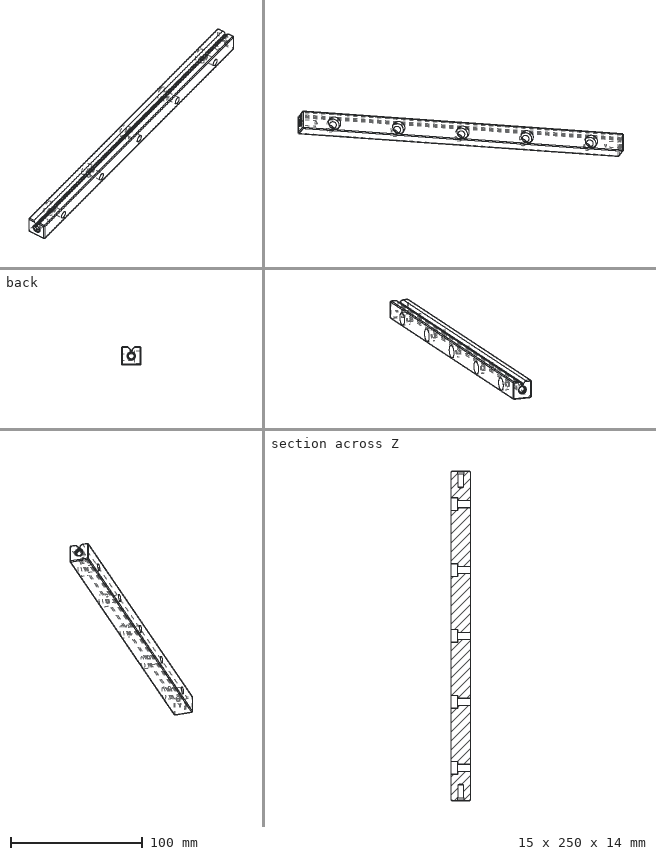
import cadquery as cq
import math

WIDTH = 15.0
LENGTH = 250.0
HEIGHT = 14.0
EDGE_CHAMFER = 0.75

GROOVE_HALF_WIDTH = 2.75
RELIEF_HALF_WIDTH = 0.75
RELIEF_DEPTH = 3.0

MOUNT_COUNT = 5
MOUNT_PITCH = LENGTH / MOUNT_COUNT
MOUNT_HEIGHT = 6.0
MOUNT_DIAMETER = 5.2
COUNTERBORE_DIAMETER = 9.5
COUNTERBORE_DEPTH = 5.2

END_HOLE_HEIGHT = HEIGHT / 2
END_HOLE_DIAMETER = 4.35
END_HOLE_DEPTH = 12.0
END_HOLE_STEP_DIAMETER = 5.2
END_HOLE_STEP_DEPTH = 2.0
END_HOLE_MOUTH_DIAMETER = 6.3
DRILL_POINT_ANGLE = 118.0


def make_body():
    """Rectangular bar with every outer edge chamfered."""
    bar = cq.Workplane("XY").box(WIDTH, LENGTH, HEIGHT, centered=(True, True, False))
    return bar.edges().chamfer(EDGE_CHAMFER)


def make_groove():
    """V groove and relief slot, as one prism running the full length."""
    relief_top = HEIGHT - (GROOVE_HALF_WIDTH - RELIEF_HALF_WIDTH)
    relief_bottom = HEIGHT - RELIEF_DEPTH
    outline = [
        (-GROOVE_HALF_WIDTH, HEIGHT),
        (-RELIEF_HALF_WIDTH, relief_top),
        (-RELIEF_HALF_WIDTH, relief_bottom),
        (RELIEF_HALF_WIDTH, relief_bottom),
        (RELIEF_HALF_WIDTH, relief_top),
        (GROOVE_HALF_WIDTH, HEIGHT),
    ]
    return cq.Workplane("XZ").polyline(outline).close().extrude(LENGTH / 2, both=True)


def make_mounting_hole(y):
    """Through hole along X with its counterbore on the -X face."""
    start = cq.Vector(-WIDTH / 2, y, MOUNT_HEIGHT)
    inward = cq.Vector(1, 0, 0)
    hole = cq.Solid.makeCylinder(MOUNT_DIAMETER / 2, WIDTH, start, inward)
    counterbore = cq.Solid.makeCylinder(COUNTERBORE_DIAMETER / 2, COUNTERBORE_DEPTH, start, inward)
    return hole.fuse(counterbore)


def make_end_hole():
    """Countersunk, stepped blind hole with a drill point, entering the -Y end face."""
    radius = END_HOLE_DIAMETER / 2
    mouth_radius = END_HOLE_MOUTH_DIAMETER / 2
    step_radius = END_HOLE_STEP_DIAMETER / 2
    mouth_depth = mouth_radius - step_radius
    point_depth = radius / math.tan(math.radians(DRILL_POINT_ANGLE / 2))
    end_face = -LENGTH / 2
    half_profile = [
        (0, end_face),
        (mouth_radius, end_face),
        (step_radius, end_face + mouth_depth),
        (step_radius, end_face + END_HOLE_STEP_DEPTH),
        (radius, end_face + END_HOLE_STEP_DEPTH),
        (radius, end_face + END_HOLE_DEPTH),
        (0, end_face + END_HOLE_DEPTH + point_depth),
    ]
    profile = cq.Workplane("XY").polyline(half_profile).close()
    return profile.revolve(360, (0, 0), (0, 1)).translate((0, 0, END_HOLE_HEIGHT))


result = make_body().cut(make_groove())

for index in range(MOUNT_COUNT):
    hole_y = (index - (MOUNT_COUNT - 1) / 2) * MOUNT_PITCH
    result = result.cut(cq.Workplane(make_mounting_hole(hole_y)))

end_hole = make_end_hole()
result = result.cut(end_hole).cut(end_hole.mirror("XZ"))